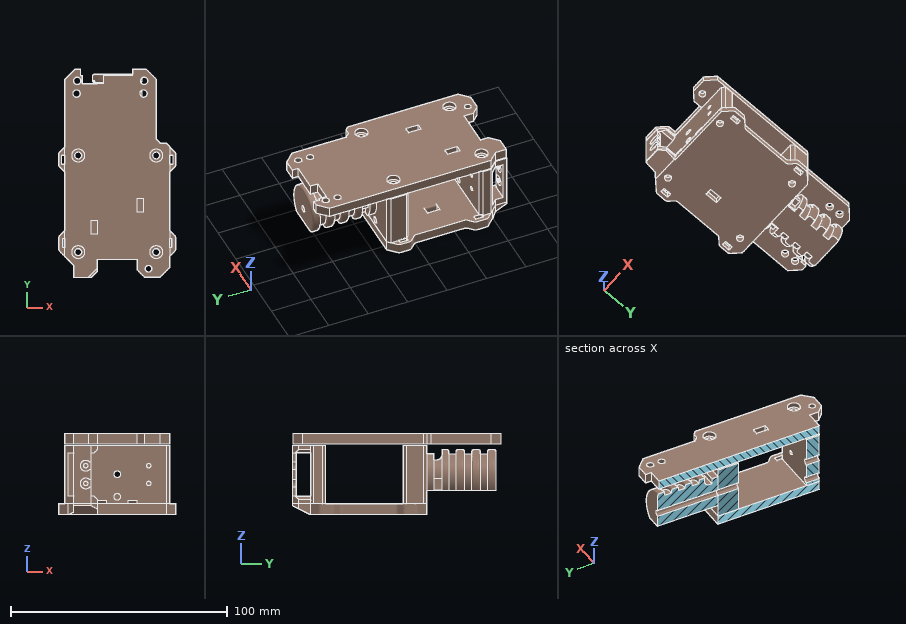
import cadquery as cq

plate_thickness = 5.0
wall_height = 27.0
plate_gap = 0.5
wall_bottom = plate_thickness
wall_top = wall_bottom + wall_height
top_plate_bottom = wall_top + plate_gap
top_plate_top = top_plate_bottom + plate_thickness

wall_half_width = 24.3
corner_chamfer = 1.4
rear_wall_back = 13.9
rear_wall_front = 3.0
front_wall_back = -32.9
front_wall_front = -39.8

screw_x = 18.0
screw_rear_y = 8.3
screw_front_y = -36.3
screw_hole_diameter = 3.1
screw_head_diameter = 6.0
screw_head_depth = 2.5
screw_points = [(sx * screw_x, y) for sx in (-1, 1) for y in (screw_rear_y, screw_front_y)]

tab_left = -20.1
tab_right = -9.2
tab_front = -48.2
tab_corner_chamfer = 2.9
box_chamfer_y = front_wall_front + corner_chamfer
tab_left_chamfer_y = box_chamfer_y - (tab_left + wall_half_width)
tab_bevel_start = -40.3
tab_bevel_height = 4.0

window_bottom = 8.5
window_top = 28.5
window_front = -46.3
window_mouth_chamfer = 1.5
lip_right = tab_right - tab_corner_chamfer

axis_height = 18.6
centre_hole_diameter = 3.1
grip_bore_diameter = 3.0
lower_hole_height = 8.2
rear_lower_hole_x = -9.9
small_screw_diameter = 2.0
small_screw_x = 14.55
small_screw_heights = (14.4, 22.5)
small_head_diameter = 5.0
small_head_depth = 1.5
small_head_slot = 3.5

notch_inner_x = 5.0
notch_outer_x = 9.2
notch_height = 1.4
notch_depth = 3.9

base_half_width = 23.8
overall_width = 54.2
ear_half_width = overall_width / 2
rear_ear_y = (3.5, 9.4)
front_ear_y = (-35.5, -29.2)
ear_corner_radius = 2.1
ear_slot_length = 4.0
ear_slot_width = 2.0
rear_ear_slot_outer_x = 25.7
rear_ear_slot_y = 6.4
front_ear_slot_outer_x = 25.1
front_ear_slot_y = -32.2

strap_slot_width = 3.1
strap_slot_length = 6.3
strap_slot_x = 10.6
strap_slot_rear_y = -14.7
strap_slot_front_y = -25.0
strap_slot_round = 1.0

top_rear = 48.2
top_front = -48.0
neck_right = 18.1
rear_corner_chamfer = 4.7
shoulder_y = 14.0
shoulder_outer_chamfer = 1.5
shoulder_inner_chamfer = 1.9
left_foot_chamfer = 4.2
right_foot_inner_chamfer = 3.5
right_foot_outer_chamfer = 4.5
rear_recess_left = -17.0
rear_recess_right = 7.1
rear_recess_y = 45.2
rear_notch_left = -16.1
rear_notch_right = -6.5
rear_notch_y = 41.4
corner_hole_x = 14.5
corner_hole_y = -44.0
corner_hole_diameter = 3.0
rear_hole_diameter = 3.3
rear_hole_points = [(-18.5, 42.8), (12.4, 42.8), (-18.8, 36.9), (12.1, 36.9)]

grip_end = 45.9
grip_core_radius = 9.4
grip_rib_radius = 11.5
grip_flat_bottom = 11.0
grip_flange_top = 28.1
rib_count = 4
rib_pitch = 7.27
rib_width = 3.95
rib_edge_radius = 1.0
saddle_rear = 20.9
saddle_front = 17.15
saddle_floor = 25.2
saddle_fillet = 2.6
side_flat_half_width = 6.1
side_flat_top = 16.6


def prism(points, bottom, top):
    """Upright solid on a closed plan outline."""
    return cq.Workplane("XY").workplane(offset=bottom).polyline(points).close().extrude(top - bottom)


def block(x0, x1, y0, y1, z0, z1):
    """Box between two opposite corners."""
    return cq.Workplane("XY").box(x1 - x0, y1 - y0, z1 - z0, centered=False).translate((x0, y0, z0))


def upright_pins(points, diameter, bottom, top):
    """Vertical cylinders, used to cut holes."""
    plane = cq.Workplane("XY").workplane(offset=bottom)
    return plane.pushPoints(points).circle(diameter / 2).extrude(top - bottom)


def level_pin(x, z, diameter, front, rear):
    """Cylinder along Y, used for the grip and to cut holes."""
    return cq.Workplane("XZ", origin=(0, front, 0)).center(x, z).circle(diameter / 2).extrude(front - rear)


def tab_outline():
    """Plan of the front tab, from the left corner chamfer of the box to the tab's right side."""
    return [
        (corner_chamfer - wall_half_width, front_wall_front),
        (tab_left, tab_left_chamfer_y),
        (tab_left, tab_front),
        (lip_right, tab_front),
        (tab_right, tab_front + tab_corner_chamfer),
        (tab_right, front_wall_front),
    ]


def make_wall(front, rear):
    """Plain wall with chamfered upright corners and two mounting screw holes."""
    wall = block(-wall_half_width, wall_half_width, front, rear, wall_bottom, wall_top)
    wall = wall.edges("|Z").chamfer(corner_chamfer)
    return wall.cut(upright_pins(screw_points, screw_hole_diameter, wall_bottom, wall_top))


def make_rear_wall():
    wall = make_wall(rear_wall_front, rear_wall_back)
    wall = wall.cut(level_pin(0, axis_height, centre_hole_diameter, rear_wall_front, rear_wall_back))
    return wall.cut(
        level_pin(rear_lower_hole_x, lower_hole_height, centre_hole_diameter, rear_wall_front, rear_wall_back)
    )


def tab_window():
    """Opening through the tab along X, flared at its right end, where the lip is cut short."""
    mouth = (
        cq.Workplane("XZ", origin=(0, front_wall_front, 0))
        .polyline([
            (-wall_half_width, window_bottom),
            (tab_right - window_mouth_chamfer, window_bottom),
            (tab_right, window_bottom - window_mouth_chamfer),
            (tab_right, window_top + window_mouth_chamfer),
            (tab_right - window_mouth_chamfer, window_top),
            (-wall_half_width, window_top),
        ])
        .close()
        .extrude(front_wall_front - tab_front)
    )
    lip = block(-wall_half_width, lip_right, tab_front, window_front, window_bottom, window_top)
    return mouth.cut(lip)


def small_head_recess(z):
    """Screw head recess in the lip, with a slot running out to the lip's right end."""
    floor = tab_front + small_head_depth
    recess = level_pin(-small_screw_x, z, small_head_diameter, tab_front, floor)
    half_slot = small_head_slot / 2
    slot = block(-small_screw_x, lip_right, tab_front, floor, z - half_slot, z + half_slot)
    return recess.union(slot)


def strap_notch(x0):
    """Wedge under the front wall, deepest at the front face."""
    return (
        cq.Workplane("YZ", origin=(x0, 0, 0))
        .polyline([
            (front_wall_front, wall_bottom),
            (front_wall_front + notch_depth, wall_bottom),
            (front_wall_front, wall_bottom + notch_height),
        ])
        .close()
        .extrude(notch_outer_x - notch_inner_x)
    )


def make_front_wall():
    wall = make_wall(front_wall_front, front_wall_back)
    wall = wall.union(prism(tab_outline(), wall_bottom, wall_top))
    wall = wall.cut(tab_window())
    for z in (axis_height, lower_hole_height):
        wall = wall.cut(level_pin(0, z, centre_hole_diameter, front_wall_front, front_wall_back))
    for z in small_screw_heights:
        for x in (-small_screw_x, small_screw_x):
            wall = wall.cut(level_pin(x, z, small_screw_diameter, tab_front, front_wall_back))
        wall = wall.cut(small_head_recess(z))
    for x0 in (-notch_outer_x, notch_inner_x):
        wall = wall.cut(strap_notch(x0))
    return wall


def base_side(side):
    """Plan points along one side of the base (side is -1 or 1), from front to rear."""
    step = ear_half_width - base_half_width
    front_run = front_ear_y[0] - front_wall_front
    rear_run = rear_wall_back - rear_ear_y[1]
    return [
        (side * (ear_half_width - front_run), front_wall_front),
        (side * ear_half_width, front_ear_y[0]),
        (side * ear_half_width, front_ear_y[1]),
        (side * base_half_width, front_ear_y[1] + step),
        (side * base_half_width, rear_ear_y[0] - step),
        (side * ear_half_width, rear_ear_y[0]),
        (side * ear_half_width, rear_ear_y[1]),
        (side * (ear_half_width - rear_run), rear_wall_back),
    ]


def base_tab():
    """Front tab of the base with its sloping underside."""
    tab = prism(tab_outline(), 0, plate_thickness)
    slope = (
        cq.Workplane("YZ", origin=(-wall_half_width, 0, 0))
        .polyline([(tab_bevel_start, 0), (tab_front, 0), (tab_front, tab_bevel_height)])
        .close()
        .extrude(wall_half_width)
    )
    return tab.cut(slope)


def ear_slots():
    """Cutters for the four slots through the ears."""
    slots = cq.Workplane("XY")
    for outer_x, y in ((rear_ear_slot_outer_x, rear_ear_slot_y), (front_ear_slot_outer_x, front_ear_slot_y)):
        centre_x = outer_x - ear_slot_width / 2
        slots = slots.pushPoints([(-centre_x, y), (centre_x, y)]).rect(ear_slot_width, ear_slot_length)
    return slots.extrude(plate_thickness)


def strap_slot(x, y, bottom):
    """Rectangular cutter through a plate whose underside is at the given level."""
    return block(
        x - strap_slot_width / 2, x + strap_slot_width / 2,
        y - strap_slot_length / 2, y + strap_slot_length / 2,
        bottom, bottom + plate_thickness,
    )


def make_base():
    base = prism(base_side(1) + base_side(-1)[::-1], 0, plate_thickness)
    ear_corners = base.edges("|Z").edges("not(<Y or >Y)")
    base = ear_corners.fillet(ear_corner_radius)
    base = base.union(base_tab())
    base = base.cut(upright_pins(screw_points, screw_hole_diameter, 0, plate_thickness))
    base = base.cut(ear_slots())
    base = base.cut(strap_slot(-strap_slot_x, strap_slot_rear_y, 0))
    slot_edge = (strap_slot_width / 2 - strap_slot_x, strap_slot_rear_y, plate_thickness)
    return base.edges(cq.selectors.NearestToPointSelector(slot_edge)).fillet(strap_slot_round)


def top_outline():
    """Plan of the top plate, counter-clockwise from the left front chamfer."""
    return [
        (-wall_half_width, box_chamfer_y),
        (tab_left, tab_left_chamfer_y),
        (tab_left, top_front),
        (tab_right - left_foot_chamfer, top_front),
        (tab_right, top_front + left_foot_chamfer),
        (tab_right, front_wall_front),
        (-tab_right, front_wall_front),
        (-tab_right, top_front + right_foot_inner_chamfer),
        (right_foot_inner_chamfer - tab_right, top_front),
        (wall_half_width - right_foot_outer_chamfer, top_front),
        (wall_half_width, top_front + right_foot_outer_chamfer),
        (wall_half_width, shoulder_y - shoulder_outer_chamfer),
        (wall_half_width - shoulder_outer_chamfer, shoulder_y),
        (neck_right + shoulder_inner_chamfer, shoulder_y),
        (neck_right, shoulder_y + shoulder_inner_chamfer),
        (neck_right, top_rear - rear_corner_chamfer),
        (neck_right - rear_corner_chamfer, top_rear),
        (rear_recess_right, top_rear),
        (rear_recess_right, rear_recess_y),
        (rear_notch_right, rear_recess_y),
        (rear_notch_right, rear_notch_y),
        (rear_notch_left, rear_notch_y),
        (rear_notch_left, rear_recess_y),
        (rear_recess_left, rear_recess_y),
        (rear_recess_left, top_rear),
        (rear_corner_chamfer - wall_half_width, top_rear),
        (-wall_half_width, top_rear - rear_corner_chamfer),
    ]


def make_top_plate():
    plate = prism(top_outline(), top_plate_bottom, top_plate_top)
    head_floor = top_plate_top - screw_head_depth
    plate = plate.cut(upright_pins(screw_points, screw_hole_diameter, top_plate_bottom, top_plate_top))
    plate = plate.cut(upright_pins(screw_points, screw_head_diameter, head_floor, top_plate_top))
    plate = plate.cut(upright_pins(rear_hole_points, rear_hole_diameter, top_plate_bottom, top_plate_top))
    corner_hole = [(corner_hole_x, corner_hole_y)]
    plate = plate.cut(upright_pins(corner_hole, corner_hole_diameter, top_plate_bottom, top_plate_top))
    plate = plate.cut(strap_slot(strap_slot_x, strap_slot_rear_y, top_plate_bottom))
    return plate.cut(strap_slot(-strap_slot_x, strap_slot_front_y, top_plate_bottom))


def grip_rib(index):
    """One rib with rounded rims; the last one is cut off flat where the saddle begins."""
    rear = grip_end - index * rib_pitch
    rib = level_pin(0, axis_height, 2 * grip_rib_radius, rear - rib_width, rear)
    rib = rib.edges("%CIRCLE").fillet(rib_edge_radius)
    return rib.cut(block(-grip_rib_radius, grip_rib_radius, rear_wall_back, saddle_rear, 0, wall_top))


def make_grip():
    grip = level_pin(0, axis_height, 2 * grip_core_radius, rear_wall_back, grip_end)

    flange = level_pin(0, axis_height, 2 * grip_rib_radius, rear_wall_back, saddle_front)
    above_flange = block(
        -grip_rib_radius, grip_rib_radius, rear_wall_back, saddle_front, grip_flange_top, wall_top
    )
    grip = grip.union(flange.cut(above_flange))

    for index in range(rib_count):
        grip = grip.union(grip_rib(index))

    saddle = block(-grip_rib_radius, grip_rib_radius, saddle_front, saddle_rear, saddle_floor, wall_top)
    grip = grip.cut(saddle.edges("|X and >Y and <Z").fillet(saddle_fillet))

    for x0, x1 in ((-grip_rib_radius, -side_flat_half_width), (side_flat_half_width, grip_rib_radius)):
        grip = grip.cut(block(x0, x1, saddle_front, saddle_rear, 0, side_flat_top))

    grip = grip.cut(block(-grip_rib_radius, grip_rib_radius, rear_wall_back, grip_end, 0, grip_flat_bottom))
    return grip.cut(level_pin(0, axis_height, grip_bore_diameter, rear_wall_back, grip_end))


base = make_base()
front_wall = make_front_wall()
rear_wall = make_rear_wall()
top_plate = make_top_plate()
grip = make_grip()

result = cq.Compound.makeCompound([
    base.val(),
    front_wall.val(),
    rear_wall.val(),
    top_plate.val(),
    grip.val(),
])